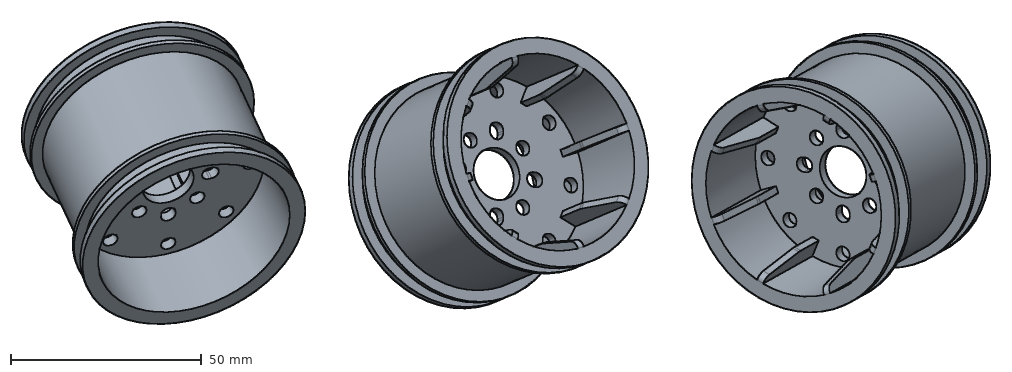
import cadquery as cq
import math

wheel_width = 50.0
rim_diameter = 61.6
barrel_diameter = 55.5
bore_diameter = 53.0

outer_flange_width = 2.0
bead_flange_width = 1.25
bead_flange_offset = 6.95

web_face_x = 1.0
web_thickness = 3.0

axle_hole_diameter = 14.05
bolt_hole_diameter = 4.0
outer_bolt_count = 8
outer_bolt_radius = 22.65
inner_bolt_count = 4
inner_bolt_radius = 11.35
slot_radius = 11.65
slot_length = 4.6

rib_count = 8
rib_thickness = 2.0
rib_inner_radius = 21.5
rib_nose_radius = 2.3
rib_kink_x = -9.0
rib_kink_fillet = 5.0
rib_slope = 10.7

end_x = wheel_width / 2


def disc(start_x, width, diameter):
    """Solid cylinder along X from start_x."""
    return cq.Workplane("YZ", origin=(start_x, 0, 0)).circle(diameter / 2).extrude(width)


def make_barrel():
    """Thin barrel with an outer flange and a bead flange at both ends."""
    barrel = disc(-end_x, wheel_width, barrel_diameter)
    for width, offset in ((outer_flange_width, 0), (bead_flange_width, bead_flange_offset)):
        barrel = barrel.union(disc(-end_x + offset, width, rim_diameter))
        barrel = barrel.union(disc(end_x - offset - width, width, rim_diameter))
    return barrel.cut(disc(-end_x, wheel_width, bore_diameter))


def web_ring(radius, start_angle, count):
    """Evenly spaced hole centres on the ribbed face of the web."""
    return cq.Workplane("YZ", origin=(web_face_x, 0, 0)).polarArray(radius, start_angle, 360, count)


def make_web():
    """Web disc with the axle hole, two rings of round holes and a ring of radial slots."""
    bolt_hole_radius = bolt_hole_diameter / 2
    half_pitch = 180 / inner_bolt_count
    hole_outlines = (
        web_ring(outer_bolt_radius, 0, outer_bolt_count).circle(bolt_hole_radius),
        web_ring(inner_bolt_radius, half_pitch, inner_bolt_count).circle(bolt_hole_radius),
        web_ring(slot_radius, 0, inner_bolt_count).slot2D(slot_length, bolt_hole_diameter),
    )
    web = disc(web_face_x, web_thickness, bore_diameter)
    web = web.cut(disc(web_face_x, web_thickness, axle_hole_diameter))
    for outline in hole_outlines:
        web = web.cut(outline.extrude(web_thickness))
    return web


def make_rib():
    """Rib in the XY plane: level crest at the web, sloping outward to a rounded nose."""
    root_radius = (bore_diameter + barrel_diameter) / 4
    slope_rise = (rib_kink_x + end_x) * math.tan(math.radians(rib_slope))
    rib = (
        cq.Workplane("XY")
        .moveTo(web_face_x, root_radius)
        .lineTo(web_face_x, rib_inner_radius)
        .lineTo(rib_kink_x, rib_inner_radius)
        .lineTo(-end_x, rib_inner_radius + slope_rise)
        .lineTo(-end_x, root_radius)
        .close()
        .extrude(rib_thickness / 2, both=True)
    )
    kink = cq.selectors.NearestToPointSelector((rib_kink_x, rib_inner_radius, 0))
    nose = cq.selectors.NearestToPointSelector((-end_x, rib_inner_radius + slope_rise, 0))
    rib = rib.edges("|Z").edges(kink).fillet(rib_kink_fillet)
    return rib.edges("|Z").edges(nose).fillet(rib_nose_radius)


result = make_barrel().union(make_web())
rib = make_rib()
rib_pitch = 360 / rib_count
for index in range(rib_count):
    angle = (index + 0.5) * rib_pitch
    result = result.union(rib.rotate((0, 0, 0), (1, 0, 0), angle))